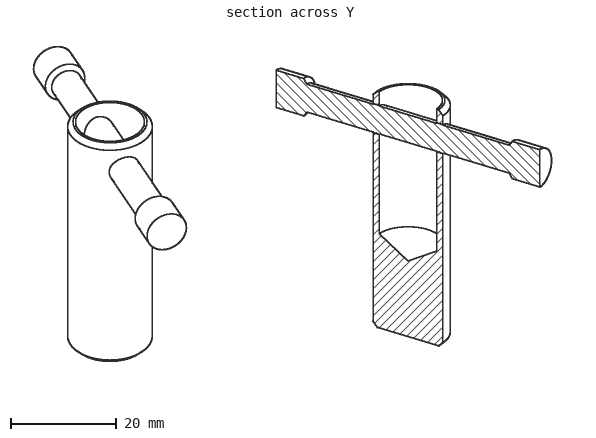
import cadquery as cq
import math

tube_diameter = 16.0
tube_height = 50.0
bore_diameter = 13.0
bore_depth = 30.0
drill_point_angle = 118.0
tube_chamfer = 1.0

bar_length = 60.0
bar_diameter = 6.0
bar_below_top = 6.0
knob_diameter = 8.0
knob_length = 7.0
knob_cone_length = 0.7

tube_radius = tube_diameter / 2
bore_radius = bore_diameter / 2
bar_radius = bar_diameter / 2
knob_radius = knob_diameter / 2
half_bar = bar_length / 2
knob_start = half_bar - knob_length
bar_height = tube_height - bar_below_top
bore_floor = tube_height - bore_depth
bore_tip = bore_floor - bore_radius / math.tan(math.radians(drill_point_angle / 2))


def make_tube():
    """Revolve the bored, chamfered tube and drill the cross hole for the bar."""
    rim_radius = tube_radius - tube_chamfer
    body = (
        cq.Workplane("XZ")
        .polyline([
            (0, 0),
            (rim_radius, 0),
            (tube_radius, tube_chamfer),
            (tube_radius, tube_height - tube_chamfer),
            (rim_radius, tube_height),
            (bore_radius, tube_height),
            (bore_radius, bore_floor),
            (0, bore_tip),
        ])
        .close()
        .revolve(360, (0, 0), (0, 1))
    )
    cross_hole = (
        cq.Workplane("YZ")
        .center(0, bar_height)
        .circle(bar_radius)
        .extrude(tube_radius, both=True)
    )
    return body.cut(cross_hole)


def make_tommy_bar():
    """Revolve the bar and its two knobs about the bar axis."""
    return (
        cq.Workplane("XZ", origin=(0, 0, bar_height))
        .polyline([
            (-half_bar, 0),
            (-half_bar, knob_radius),
            (-knob_start - knob_cone_length, knob_radius),
            (-knob_start, bar_radius),
            (knob_start, bar_radius),
            (knob_start + knob_cone_length, knob_radius),
            (half_bar, knob_radius),
            (half_bar, 0),
        ])
        .close()
        .revolve(360, (0, 0), (1, 0))
    )


tube = make_tube()
tommy_bar = make_tommy_bar()
result = cq.Compound.makeCompound([tube.val(), tommy_bar.val()])